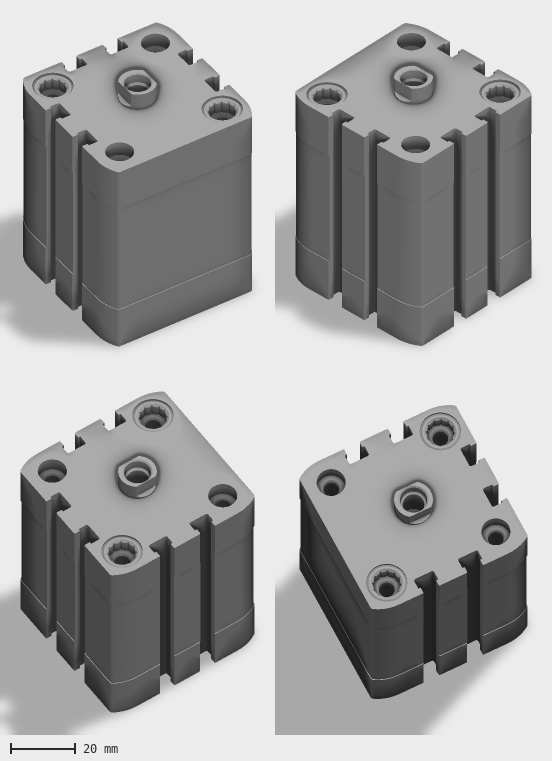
import cadquery as cq
import math


clearance = 0.8

width = 54.5
housing_height = 70.4
cap_height = 14.85
upper_cap_bottom = housing_height - cap_height
barrel_inset = 0.2
corner_arc_start = 19.0
corner_arc_radius = 14.4
corner_blend = 1.15

slot_pitch = 15.3
slot_mouth = 5.35
slot_inner = 6.9
slot_depth = 5.4
slot_lip = 2.1
slot_floor_fillet = 0.6
tongue_chamfer = 0.3

hole_spacing = 37.95
through_diameter = 4.9
thread_mouth_diameter = 6.0
counterbore_diameter = 9.0
counterbore_depth = 5.0

screw_seat_diameter = 12.8
screw_seat_depth = 0.8
screw_diameter = 12.0
screw_rim_diameter = 11.1
screw_recess = 0.4
socket_mouth_diameter = 10.1
socket_diameter = 8.5
socket_groove_count = 12
socket_groove_tip = 4.7
socket_groove_angle = 7.5

rod_diameter = 12.0
rod_top = 76.5
rod_bottom = upper_cap_bottom
flat_distance = 9.5
flat_height = 4.8
flat_ledge_angle = 30.0
rod_mouth_diameter = 9.3
rod_counterbore_diameter = 8.4
rod_counterbore_depth = 3.45
rod_thread_diameter = 6.8
rod_thread_depth = 15.3
drill_tip_angle = 118.0


def revolve_profile(points):
    """Solid of revolution about Z from (radius, z) points."""
    return cq.Workplane("XZ").polyline(points).close().revolve(360, (0, 0), (0, 1))


def rounded_block(inset, bottom, height):
    """Block with a large arc and a small blend at each vertical corner."""
    side = width / 2 - inset
    radius = corner_arc_radius - inset
    run = side - corner_arc_start
    fall = radius - math.sqrt(radius**2 - run**2)
    half_angle = math.asin(run / radius) / 2
    mid_x = corner_arc_start + radius * math.sin(half_angle)
    mid_y = side - radius * (1 - math.cos(half_angle))
    end_y = side - fall
    block = (
        cq.Workplane("XY", origin=(0, 0, bottom))
        .moveTo(-corner_arc_start, side)
        .lineTo(corner_arc_start, side)
        .threePointArc((mid_x, mid_y), (side, end_y))
        .lineTo(side, -end_y)
        .threePointArc((mid_x, -mid_y), (corner_arc_start, -side))
        .lineTo(-corner_arc_start, -side)
        .threePointArc((-mid_x, -mid_y), (-side, -end_y))
        .lineTo(-side, end_y)
        .threePointArc((-mid_x, mid_y), (-corner_arc_start, side))
        .close()
        .extrude(height)
    )
    corners = cq.selectors.BoxSelector(
        (-side - clearance, -end_y - clearance, bottom),
        (side + clearance, end_y + clearance, bottom + height),
    )
    return block.edges("|Z").edges(corners).fillet(corner_blend)


def slot_pair():
    """Cutter for the two T-slots of the -Y side."""
    face_y = -width / 2
    cutter = cq.Workplane("XY")
    for x in (-slot_pitch / 2, slot_pitch / 2):
        mouth = cq.Workplane("XY").box(
            slot_mouth, slot_depth, housing_height, centered=(True, False, False)
        )
        inner = (
            cq.Workplane("XY", origin=(0, slot_lip, 0))
            .box(slot_inner, slot_depth - slot_lip, housing_height, centered=(True, False, False))
            .edges("|Z and >Y")
            .fillet(slot_floor_fillet)
        )
        cutter = cutter.union(mouth.union(inner).translate((x, face_y, 0)))

    tongue_half = (slot_pitch - slot_mouth) / 2
    for bottom in (0, upper_cap_bottom):
        for sign in (-1, 1):
            chamfer = (
                cq.Workplane("XY", origin=(0, 0, bottom))
                .polyline([
                    (sign * tongue_half, face_y),
                    (sign * (tongue_half - tongue_chamfer), face_y),
                    (sign * tongue_half, face_y + tongue_chamfer),
                ])
                .close()
                .extrude(cap_height)
            )
            cutter = cutter.union(chamfer)
    return cutter


def threaded_hole():
    """Cutter for the through hole, with a 45 degree mouth at the counterbore floor."""
    hole = through_diameter / 2
    mouth = thread_mouth_diameter / 2
    seat_z = housing_height - counterbore_depth
    return revolve_profile([
        (0, 0),
        (hole, 0),
        (hole, seat_z - (mouth - hole)),
        (mouth, seat_z),
        (0, seat_z),
    ])


def plain_corner_hole():
    """Counterbored fastening hole."""
    counterbore = (
        cq.Workplane("XY", origin=(0, 0, housing_height - counterbore_depth))
        .circle(counterbore_diameter / 2)
        .extrude(counterbore_depth)
    )
    return threaded_hole().union(counterbore)


def bearing_screw_hole():
    """Cutter that leaves a recessed, splined bearing screw in the cap."""
    top = housing_height
    seat = screw_seat_diameter / 2
    screw = screw_diameter / 2
    rim = screw_rim_diameter / 2
    socket_mouth = socket_mouth_diameter / 2
    socket = socket_diameter / 2
    screw_top = top - screw_recess
    socket_bottom = top - counterbore_depth
    recess = revolve_profile([
        (0, top),
        (seat, top),
        (seat, top - screw_seat_depth),
        (screw, top - screw_seat_depth),
        (rim, screw_top),
        (socket_mouth, screw_top),
        (socket, screw_top - (socket_mouth - socket)),
        (socket, socket_bottom),
        (0, socket_bottom),
    ])
    groove_half = math.radians(socket_groove_angle)
    groove = (
        cq.Workplane("XY", origin=(0, 0, socket_bottom))
        .polyline([
            (0, 0),
            (socket * math.cos(groove_half), -socket * math.sin(groove_half)),
            (socket_groove_tip, 0),
            (socket * math.cos(groove_half), socket * math.sin(groove_half)),
        ])
        .close()
        .extrude(screw_top - socket_bottom)
    )
    cutter = threaded_hole().union(recess)
    for index in range(socket_groove_count):
        angle = 360 * index / socket_groove_count
        cutter = cutter.union(groove.rotate((0, 0, 0), (0, 0, 1), angle))
    return cutter


def rod_blank():
    """Plain rod, which is also the shape of its bore in the housing."""
    return (
        cq.Workplane("XY", origin=(0, 0, rod_bottom))
        .circle(rod_diameter / 2)
        .extrude(rod_top - rod_bottom)
    )


def make_housing():
    body = rounded_block(0, 0, cap_height)
    body = body.union(rounded_block(barrel_inset, cap_height, upper_cap_bottom - cap_height))
    body = body.union(rounded_block(0, upper_cap_bottom, cap_height))

    slots = slot_pair()
    for angle in (0, -90, 180):
        body = body.cut(slots.rotate((0, 0, 0), (0, 0, 1), angle))

    offset = hole_spacing / 2
    for sign in (-1, 1):
        body = body.cut(plain_corner_hole().translate((sign * offset, -sign * offset, 0)))
        body = body.cut(bearing_screw_hole().translate((sign * offset, sign * offset, 0)))

    return body.cut(rod_blank())


def make_piston_rod():
    rod = rod_blank()

    flat = flat_distance / 2
    outside = rod_diameter / 2 + clearance
    ledge_z = rod_top - flat_height
    ledge_fall = (outside - flat) * math.tan(math.radians(flat_ledge_angle))
    for sign in (-1, 1):
        cutter = (
            cq.Workplane("YZ")
            .polyline([
                (sign * flat, rod_top),
                (sign * flat, ledge_z),
                (sign * outside, ledge_z - ledge_fall),
                (sign * outside, rod_top),
            ])
            .close()
            .extrude(rod_diameter / 2, both=True)
        )
        rod = rod.cut(cutter)

    mouth = rod_mouth_diameter / 2
    counterbore = rod_counterbore_diameter / 2
    thread = rod_thread_diameter / 2
    cone_top = rod_top - rod_counterbore_depth
    drill_end = rod_top - rod_thread_depth
    tip_slope = math.tan(math.radians(drill_tip_angle / 2))
    hole = revolve_profile([
        (0, rod_top),
        (mouth, rod_top),
        (counterbore, rod_top - (mouth - counterbore)),
        (counterbore, cone_top),
        (thread, cone_top - (counterbore - thread) / tip_slope),
        (thread, drill_end),
        (0, drill_end - thread / tip_slope),
    ])
    return rod.cut(hole)


housing = make_housing()
piston_rod = make_piston_rod()
result = cq.Compound.makeCompound([housing.val(), piston_rod.val()])